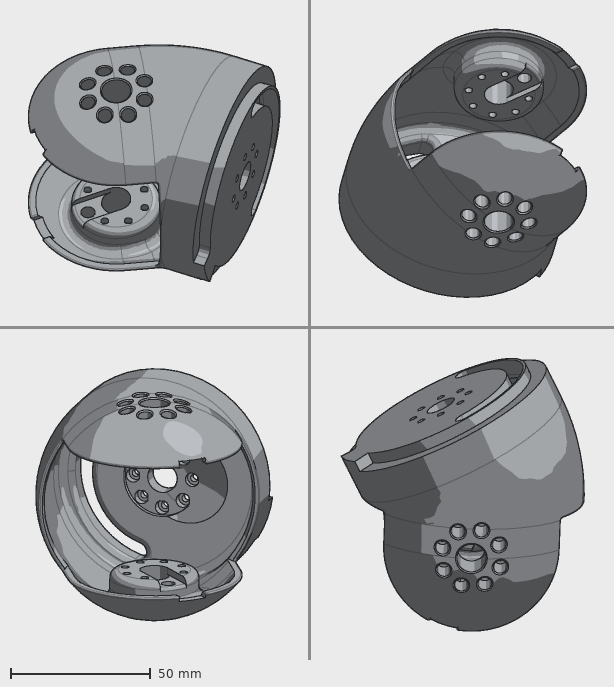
import cadquery as cq
import math

OUTER_RADIUS = 40.0
INNER_RADIUS = 37.5
BEND_RADIUS = 41.0
BEND_ANGLE = 28.0
NECK_LENGTH = 11.0
COLLAR_LENGTH = 12.65

FLOOR_X = 8.5
BASE_END_X = 16.85
SPIGOT_RADIUS = 33.85
FLOOR_FILLET = 3.0
KEY_START_ANGLE = 187.8
KEY_END_ANGLE = 211.2
KEY_FILLET = 3.0
RECESS_RADIUS = 13.8
RECESS_DEPTH = 1.9
BASE_BORE_DIAMETER = 10.8
BASE_WEB = 3.0

WINDOW_INNER_RADIUS = 26.3
WINDOW_OUTER_RADIUS = 32.8
WINDOW_HALF_ANGLE = 72.0
WINDOW_FILLET = 2.4

SLOT_HALF_HEIGHT = 24.0
SLOT_SETBACK = 0.75
SLOT_CORNER_FILLET = 1.0
SWING_RADIUS = 40.5
LIP_FILLET = 0.5
NOTCH_WIDTH = 10.4
NOTCH_DEPTH = 1.2

HUB_RADIUS = 16.0
HUB_FACE_Z = 22.5
HUB_EDGE_FILLET = 3.0
HUB_ROOT_FILLET = 3.0
HUB_BORE_DIAMETER = 10.4
CHANNEL_DEPTH = 2.4
CHANNEL_ROLL_RADIUS = 1.2
HUB_WEB = 3.0
RIM_CHAMFER = 0.5
RIM_ZONE = 3.5

SCREW_COUNT = 8
SCREW_CIRCLE_RADIUS = 11.0
SCREW_DIAMETER = 2.7
HEAD_DIAMETER = 5.0
CABLE_ANGLE = 225.0

REACH = 200.0

BEND = math.radians(BEND_ANGLE)
BALL_X = -BEND_RADIUS * math.sin(BEND) - NECK_LENGTH * math.cos(BEND)
BALL_Y = BEND_RADIUS * (math.cos(BEND) - 1) - NECK_LENGTH * math.sin(BEND)


def x_cylinder(radius, start, end, y=0.0, z=0.0):
    """Cylinder along X between two X positions."""
    return cq.Workplane("YZ", origin=(start, y, z)).circle(radius).extrude(end - start)


def z_cylinder(radius, start, end, x=BALL_X, y=BALL_Y):
    """Cylinder along Z between two heights, on the ball axis by default."""
    return cq.Workplane("XY", origin=(x, y, start)).circle(radius).extrude(end - start)


def turned(shape):
    """Place a shape drawn around the ball so that its local -X is the neck direction."""
    return shape.rotate((0, 0, 0), (0, 0, 1), BEND_ANGLE).translate((BALL_X, BALL_Y, 0))


def ball(radius):
    """Full sphere at the ball centre."""
    return turned(cq.Workplane("YZ").sphere(radius))


def elbow(radius, base):
    """Solid elbow of one tube radius, joining a base cylinder to the ball."""
    bend = (
        cq.Workplane("YZ")
        .circle(radius)
        .revolve(BEND_ANGLE, (-BEND_RADIUS, 0, 0), (-BEND_RADIUS, 1, 0))
    )
    neck = turned(x_cylinder(radius, 0, NECK_LENGTH))
    return base.union(bend).union(neck).union(ball(radius))


def neck_axis_box(half_width, z_low, z_high, x_high=REACH):
    """Selector for the edges inside an upright box around the ball axis."""
    return cq.selectors.BoxSelector(
        (BALL_X - half_width, BALL_Y - half_width, z_low),
        (min(BALL_X + half_width, x_high), BALL_Y + half_width, z_high),
        boundingbox=True,
    )


def along(direction):
    return cq.selectors.ParallelDirSelector(cq.Vector(*direction))


def on_circle(radius, degrees):
    angle = math.radians(degrees)
    return radius * math.cos(angle), radius * math.sin(angle)


def screw_points(skipped=None):
    """Centres of the screw pattern, leaving out one angle if asked."""
    angles = [i * 360.0 / SCREW_COUNT for i in range(SCREW_COUNT)]
    return [on_circle(SCREW_CIRCLE_RADIUS, a) for a in angles if a != skipped]


def rear_relief():
    """Waste around the spigot and its key, the key's upper side blending into the spigot."""
    length = BASE_END_X - COLLAR_LENGTH
    far = 2 * OUTER_RADIUS
    key = (
        cq.Workplane("YZ", origin=(COLLAR_LENGTH, 0, 0))
        .lineTo(*on_circle(far, KEY_START_ANGLE))
        .lineTo(*on_circle(far, KEY_END_ANGLE))
        .close()
        .extrude(length)
    )
    root_y, root_z = on_circle(SPIGOT_RADIUS, KEY_START_ANGLE)
    root = cq.selectors.NearestToPointSelector((COLLAR_LENGTH + length / 2, root_y, root_z))
    spigot = x_cylinder(SPIGOT_RADIUS, COLLAR_LENGTH, BASE_END_X)
    kept = spigot.union(key).edges(root).fillet(KEY_FILLET)
    return x_cylinder(far, COLLAR_LENGTH, BASE_END_X).cut(kept)


def slot_slab():
    """Slab that opens the front of the elbow."""
    end = NECK_LENGTH + SLOT_SETBACK
    slab = (
        cq.Workplane("XY")
        .box(REACH, REACH, 2 * SLOT_HALF_HEIGHT)
        .translate((end - REACH / 2, 0, 0))
        .edges(">X and |Y")
        .fillet(SLOT_CORNER_FILLET)
    )
    return turned(slab)


def notch():
    """Cable notch that runs out from the ball axis through the lips of both ears."""
    bar = (
        cq.Workplane("XY")
        .box(REACH, NOTCH_WIDTH, 2 * (SLOT_HALF_HEIGHT + NOTCH_DEPTH))
        .translate((REACH / 2, 0, 0))
    )
    return bar.rotate((0, 0, 0), (0, 0, 1), CABLE_ANGLE).translate((BALL_X, BALL_Y, 0))


def slotted_block():
    """Solid elbow with the slot and notch cut through it and its lips rounded."""
    block = elbow(OUTER_RADIUS, x_cylinder(OUTER_RADIUS, 0, BASE_END_X))
    block = block.cut(slot_slab()).cut(notch())
    margin = 0.01
    z_limit = SLOT_HALF_HEIGHT + NOTCH_DEPTH + margin
    across_neck = (-math.sin(BEND), math.cos(BEND), 0)
    across_notch = (*on_circle(1, CABLE_ANGLE + 90), 0)
    lips = neck_axis_box(REACH, -z_limit, z_limit, COLLAR_LENGTH / 2)
    lips = lips - along(across_neck) - along(across_notch) - along((0, 0, 1))
    return block.edges(lips).fillet(LIP_FILLET)


def cavity():
    """Hollow inside of the elbow, leaving out the hubs and their blended roots."""
    base = x_cylinder(INNER_RADIUS, 0, FLOOR_X).faces(">X").edges().fillet(FLOOR_FILLET)
    hollow = elbow(INNER_RADIUS, base)
    hub_top = HUB_FACE_Z + HUB_EDGE_FILLET
    hollow = hollow.cut(z_cylinder(HUB_RADIUS, hub_top, OUTER_RADIUS))
    hollow = hollow.cut(z_cylinder(HUB_RADIUS, -OUTER_RADIUS, -hub_top))
    margin = 1.0
    for z_low, z_high in ((hub_top + margin, REACH), (-REACH, -hub_top - margin)):
        root = neck_axis_box(HUB_RADIUS + margin, z_low, z_high) - along((0, 0, 1))
        hollow = hollow.edges(root).fillet(HUB_ROOT_FILLET)
    return hollow


def swing_clearance():
    """Room for the turning arm, a sphere trimmed to the slot height."""
    return ball(SWING_RADIUS).intersect(cq.Workplane("XY").box(REACH, REACH, 2 * SLOT_HALF_HEIGHT))


def hub_tip():
    """Rounded inner end of the upper hub."""
    overlap = 1.0
    top = HUB_FACE_Z + HUB_EDGE_FILLET + overlap
    return z_cylinder(HUB_RADIUS, HUB_FACE_Z, top).faces("<Z").edges().fillet(HUB_EDGE_FILLET)


def cable_channel():
    """Channel from the hub bore out to the hub side, its floor rolling over at the outer end."""
    floor_z = HUB_FACE_Z + CHANNEL_DEPTH
    depth = CHANNEL_DEPTH + CHANNEL_ROLL_RADIUS
    reach = 2 * HUB_RADIUS
    rolled_post = z_cylinder(HUB_RADIUS, floor_z, floor_z + depth).faces("<Z").edges()
    bar = (
        cq.Workplane("XY")
        .box(reach, HUB_BORE_DIAMETER, depth)
        .translate((reach / 2, 0, HUB_FACE_Z + depth / 2))
        .rotate((0, 0, 0), (0, 0, 1), CABLE_ANGLE)
        .translate((BALL_X, BALL_Y, 0))
    )
    return bar.cut(rolled_post.fillet(CHANNEL_ROLL_RADIUS))


def hub_cuts():
    """Bore, screw holes, cable hole and cable channel of the upper hub."""
    face = cq.Workplane("XY", origin=(BALL_X, BALL_Y, HUB_FACE_Z))
    seat = cq.Workplane("XY", origin=(BALL_X, BALL_Y, HUB_FACE_Z + HUB_WEB))
    screws = screw_points(CABLE_ANGLE)
    cable = [on_circle(SCREW_CIRCLE_RADIUS, CABLE_ANGLE)]
    return (
        face.circle(HUB_BORE_DIAMETER / 2).extrude(OUTER_RADIUS)
        .union(face.pushPoints(screws).circle(SCREW_DIAMETER / 2).extrude(OUTER_RADIUS))
        .union(seat.pushPoints(screws).circle(HEAD_DIAMETER / 2).extrude(OUTER_RADIUS))
        .union(face.pushPoints(cable).circle(HEAD_DIAMETER / 2).extrude(OUTER_RADIUS))
        .union(cable_channel())
    )


def base_cuts():
    """Screw recess in the floor with its bore and counterbored holes."""
    recess = x_cylinder(RECESS_RADIUS, 0, FLOOR_X + RECESS_DEPTH)
    bore = x_cylinder(BASE_BORE_DIAMETER / 2, 0, BASE_END_X)
    holes = cq.Workplane("YZ").pushPoints(screw_points()).circle(SCREW_DIAMETER / 2).extrude(BASE_END_X)
    heads = (
        cq.Workplane("YZ").pushPoints(screw_points()).circle(HEAD_DIAMETER / 2).extrude(BASE_END_X - BASE_WEB)
    )
    return recess.union(bore).union(holes).union(heads)


def cable_window():
    """Curved slot with round ends through the floor on the +Y side."""
    depth = BASE_END_X - FLOOR_X
    low, high = -WINDOW_HALF_ANGLE, WINDOW_HALF_ANGLE
    return (
        cq.Workplane("YZ", origin=(FLOOR_X, 0, 0))
        .moveTo(*on_circle(WINDOW_OUTER_RADIUS, low))
        .threePointArc((WINDOW_OUTER_RADIUS, 0), on_circle(WINDOW_OUTER_RADIUS, high))
        .tangentArcPoint(on_circle(WINDOW_INNER_RADIUS, high), relative=False)
        .threePointArc((WINDOW_INNER_RADIUS, 0), on_circle(WINDOW_INNER_RADIUS, low))
        .tangentArcPoint(on_circle(WINDOW_OUTER_RADIUS, low), relative=False)
        .close()
        .extrude(depth)
    )


def lower(shape):
    """Mirror image of an upper-ear shape for the lower ear."""
    return shape.mirror("XY")


def flare_window(shape):
    """Round the edge where the cable window meets the floor."""
    margin = 0.01
    edges = cq.selectors.BoxSelector(
        (FLOOR_X - margin, 0, -REACH), (FLOOR_X + margin, REACH, REACH), boundingbox=True
    )
    return shape.edges(edges).fillet(WINDOW_FILLET)


def round_hole_rims(shape):
    """Break the outer rims of all holes through the ears."""
    reach = SCREW_CIRCLE_RADIUS + HEAD_DIAMETER
    rim_z = OUTER_RADIUS - RIM_ZONE
    for z_low, z_high in ((rim_z, REACH), (-REACH, -rim_z)):
        rims = neck_axis_box(reach, z_low, z_high) - along((0, 0, 1))
        shape = shape.edges(rims).chamfer(RIM_CHAMFER)
    return shape


base = slotted_block().cut(rear_relief()).cut(cavity()).cut(swing_clearance())
result = flare_window(base.cut(cable_window()))
for tip in (hub_tip(), lower(hub_tip())):
    result = result.union(tip)
for tool in (hub_cuts(), lower(hub_cuts()), base_cuts()):
    result = result.cut(tool)
result = round_hole_rims(result)